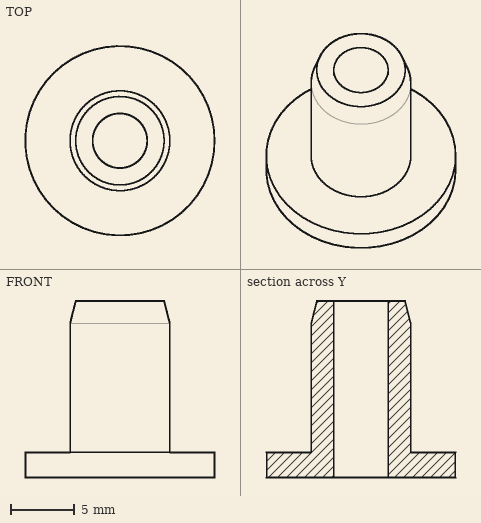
import cadquery as cq

flange_diameter = 15.0
flange_thickness = 2.0

total_height = 14.0
shank_diameter = 7.9
bore_diameter = 4.3

tip_diameter = 7.0
tip_height = 1.77

flange_radius = flange_diameter / 2
shank_radius = shank_diameter / 2
bore_radius = bore_diameter / 2
tip_radius = tip_diameter / 2

half_section = (
    cq.Workplane("XZ")
    .moveTo(bore_radius, 0)
    .lineTo(flange_radius, 0)
    .lineTo(flange_radius, flange_thickness)
    .lineTo(shank_radius, flange_thickness)
    .lineTo(shank_radius, total_height - tip_height)
    .lineTo(tip_radius, total_height)
    .lineTo(bore_radius, total_height)
    .close()
)

result = half_section.revolve(360, (0, 0, 0), (0, 1, 0))